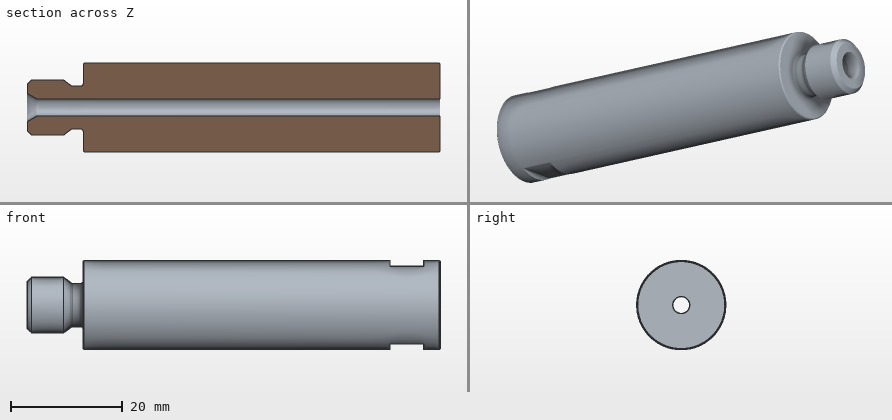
import cadquery as cq
import math

body_length = 64.0
body_radius = 8.0
body_chamfer = 0.2

stud_length = 10.0
stud_radius = 5.0
stud_chamfer = 0.8

undercut_length = 3.5
undercut_radius = 3.9
undercut_fillet = 0.4
runout_angle = 37.0

bore_radius = 1.5
countersink_radius = 2.5
countersink_angle = 60.0

flat_length = 6.0
flat_end_distance = 3.0
across_flats = 14.0


def make_shaft():
    """Revolve the stud, undercut and body about the X axis."""
    stud_end = -stud_length
    runout_start = -undercut_length
    drop = stud_radius - undercut_radius
    angle = math.radians(runout_angle)
    runout_end = runout_start + drop / math.tan(angle)

    tangent = undercut_fillet * math.tan(angle / 2)
    blend_start = (
        runout_end - tangent * math.cos(angle),
        undercut_radius + tangent * math.sin(angle),
    )
    blend_end = (runout_end + tangent, undercut_radius)
    blend_middle = (
        blend_end[0] - undercut_fillet * math.sin(angle / 2),
        undercut_radius + undercut_fillet * (1 - math.cos(angle / 2)),
    )

    corner_start = (-undercut_fillet, undercut_radius)
    corner_middle = (
        -undercut_fillet * (1 - math.sin(math.pi / 4)),
        undercut_radius + undercut_fillet * (1 - math.cos(math.pi / 4)),
    )
    corner_end = (0, undercut_radius + undercut_fillet)

    return (
        cq.Workplane("XZ")
        .moveTo(stud_end, 0)
        .lineTo(stud_end, stud_radius - stud_chamfer)
        .lineTo(stud_end + stud_chamfer, stud_radius)
        .lineTo(runout_start, stud_radius)
        .lineTo(*blend_start)
        .threePointArc(blend_middle, blend_end)
        .lineTo(*corner_start)
        .threePointArc(corner_middle, corner_end)
        .lineTo(0, body_radius - body_chamfer)
        .lineTo(body_chamfer, body_radius)
        .lineTo(body_length - body_chamfer, body_radius)
        .lineTo(body_length, body_radius - body_chamfer)
        .lineTo(body_length, 0)
        .close()
        .revolve(360, (0, 0, 0), (1, 0, 0))
    )


def make_bore():
    """Through bore with its countersink, as a solid to cut away."""
    stud_end = -stud_length
    half_angle = math.radians(countersink_angle / 2)
    countersink_depth = (countersink_radius - bore_radius) / math.tan(half_angle)
    return (
        cq.Workplane("XZ")
        .moveTo(stud_end, 0)
        .lineTo(stud_end, countersink_radius)
        .lineTo(stud_end + countersink_depth, bore_radius)
        .lineTo(body_length, bore_radius)
        .lineTo(body_length, 0)
        .close()
        .revolve(360, (0, 0, 0), (1, 0, 0))
    )


def make_flat_cutter(side):
    """Block that removes one wrench flat; side is +1 for the top, -1 for the bottom."""
    flat_depth = body_radius - across_flats / 2
    flat_middle = body_length - flat_end_distance - flat_length / 2
    block_middle = side * (across_flats / 2 + flat_depth / 2)
    return (
        cq.Workplane("XY")
        .box(flat_length, 2 * body_radius, flat_depth)
        .translate((flat_middle, 0, block_middle))
    )


result = make_shaft().cut(make_bore())
for side in (1, -1):
    result = result.cut(make_flat_cutter(side))